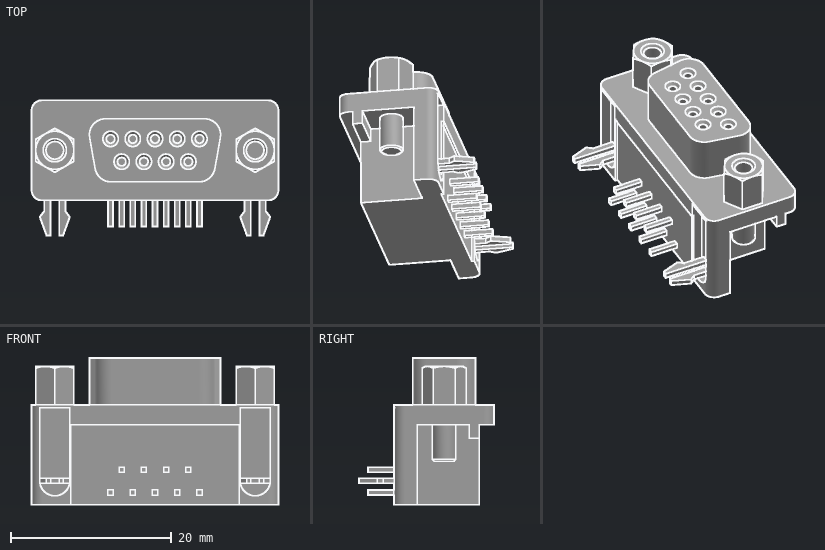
import cadquery as cq
import math


TOTAL_DEPTH = 16.88
FLANGE_WIDTH = 30.81
FLANGE_DEPTH = 12.5
FLANGE_THICKNESS = 2.5
CORNER_RADIUS = 1.3
HOUSING_HEIGHT = 12.45
FRONT_WALL_DEPTH = 2.88
BODY_WIDTH = 19.44
BODY_DEPTH = 10.65
RIB_BOTTOM_DEPTH = 4.16
RIB_THICKNESS = 1.25
PANEL_WIDTH = 21.0
PANEL_RECESS = 0.32
CENTRE_Y = FLANGE_DEPTH / 2

SHELL_HEIGHT = 5.85
SHELL_DEPTH = 7.87
SHELL_WIDTH = 16.36
SHELL_CORNER_RADIUS = 2.0
SHELL_SIDE_ANGLE = math.radians(10)

CONTACT_PITCH = 2.77
ROW_SPACING = 2.84
LONG_ROW_COUNT = 5
SHORT_ROW_COUNT = 4
SOCKET_DIAMETER = 1.05
SOCKET_MOUTH_DIAMETER = 1.92
SOCKET_DEPTH = SHELL_HEIGHT
PIN_SIZE = 0.65
PIN_LENGTH = 3.26
SHORT_ROW_PIN_Z = -8.08
LONG_ROW_PIN_Z = SHORT_ROW_PIN_Z - ROW_SPACING

SCREW_SPACING = 24.99
HEX_ACROSS_FLATS = 4.75
HEX_HEIGHT = 4.8
HEX_SIDES = 6
HEX_CHAMFER_ANGLE = math.radians(30)
THREAD_DIAMETER = 2.2
THREAD_MOUTH_DIAMETER = 2.9
THREAD_DEPTH = HEX_HEIGHT
STUD_DIAMETER = 2.9
STUD_LENGTH = 4.5
STUD_CHAMFER = 0.2

LOCK_Z = -9.46
LOCK_THICKNESS = 0.68
LOCK_TIP_Y = FLANGE_DEPTH - TOTAL_DEPTH
LOCK_GAP_HALF = 0.53
LOCK_SHANK_HALF = 1.34
LOCK_BARB_HALF = 1.88
LOCK_TIP_HALF = 1.04
LOCK_SHOULDER_Y = -1.35
LOCK_BARB_Y = -2.06
LOCK_WEB_Y = 1.25
POCKET_DEPTH = 1.35
POCKET_TOP_Z = -0.38

OVERLAP = 0.5


def box(x_min, x_max, y_min, y_max, z_min, z_max):
    """Axis-aligned box between the given limits."""
    return cq.Workplane("XY").box(
        x_max - x_min, y_max - y_min, z_max - z_min, centered=False
    ).translate((x_min, y_min, z_min))


def centred_box(width, y_min, y_max, z_min, z_max):
    """Box of the given width, symmetric about X = 0."""
    return box(-width / 2, width / 2, y_min, y_max, z_min, z_max)


def row_positions(count):
    """X positions of a contact row centred on X = 0."""
    return [(i - (count - 1) / 2) * CONTACT_PITCH for i in range(count)]


def countersunk_cutter(x, y, top_z, diameter, mouth_diameter, depth):
    """Flat-bottomed hole with a 45 degree mouth, opening upward at top_z."""
    radius = diameter / 2
    mouth_radius = mouth_diameter / 2
    mouth_depth = mouth_radius - radius
    profile = [(0, 0), (mouth_radius, 0), (radius, -mouth_depth), (radius, -depth), (0, -depth)]
    cutter = cq.Workplane("XZ").polyline(profile).close().revolve(360, (0, 0, 0), (0, 1, 0))
    return cutter.translate((x, y, top_z))


def make_housing():
    """Flange, front wall, central body and rear rib."""
    bottom = -HOUSING_HEIGHT
    flange = centred_box(FLANGE_WIDTH, 0, FLANGE_DEPTH, -FLANGE_THICKNESS, 0)
    flange = flange.edges("|Z").fillet(CORNER_RADIUS)
    wall = centred_box(FLANGE_WIDTH, 0, FRONT_WALL_DEPTH, bottom, 0)
    wall = wall.edges("|Z and <Y").fillet(CORNER_RADIUS)
    body = centred_box(BODY_WIDTH, OVERLAP, BODY_DEPTH, bottom, 0)
    rib = centred_box(FLANGE_WIDTH, BODY_DEPTH - RIB_THICKNESS, BODY_DEPTH,
                      -RIB_BOTTOM_DEPTH, -FLANGE_THICKNESS)
    panel = centred_box(PANEL_WIDTH, 0, PANEL_RECESS, bottom, -FLANGE_THICKNESS)
    return flange.union(wall).union(body).union(rib).cut(panel)


def make_shell():
    """D-shaped shell whose sides narrow toward the board side."""
    half_depth = SHELL_DEPTH / 2
    taper = math.tan(SHELL_SIDE_ANGLE)
    arc_x = SHELL_WIDTH / 2 - SHELL_CORNER_RADIUS
    arc_to_edge = SHELL_CORNER_RADIUS * (1 / math.cos(SHELL_SIDE_ANGLE) + taper)
    rear_half = arc_x + arc_to_edge
    front_half = rear_half - SHELL_DEPTH * taper
    outline = [(-rear_half, half_depth), (rear_half, half_depth),
               (front_half, -half_depth), (-front_half, -half_depth)]
    shell = cq.Workplane("XY").polyline(outline).close().extrude(SHELL_HEIGHT + OVERLAP)
    shell = shell.edges("|Z").fillet(SHELL_CORNER_RADIUS)
    return shell.translate((0, CENTRE_Y, -OVERLAP))


def add_contacts(part, count, row_y, pin_z):
    """Cut one row of sockets in the shell and add its solder pins."""
    half = PIN_SIZE / 2
    for x in row_positions(count):
        part = part.cut(countersunk_cutter(x, row_y, SHELL_HEIGHT, SOCKET_DIAMETER,
                                           SOCKET_MOUTH_DIAMETER, SOCKET_DEPTH))
        part = part.union(box(x - half, x + half, -PIN_LENGTH, PANEL_RECESS + OVERLAP,
                              pin_z - half, pin_z + half))
    return part


def add_jackscrew(part, x):
    """Chamfered hexagon nut with a threaded bore above the flange and a stud below it."""
    flat_radius = HEX_ACROSS_FLATS / 2
    corner_radius = flat_radius / math.cos(math.pi / HEX_SIDES)
    top = HEX_HEIGHT + OVERLAP
    nut = cq.Workplane("XY").polygon(HEX_SIDES, 2 * corner_radius).extrude(top)
    half_step = 180 / HEX_SIDES
    nut = nut.rotate((0, 0, 0), (0, 0, 1), half_step)
    cone_drop = (corner_radius - flat_radius) * math.tan(HEX_CHAMFER_ANGLE)
    blank_profile = [(0, 0), (corner_radius, 0), (corner_radius, top - cone_drop),
                     (flat_radius, top), (0, top)]
    blank = cq.Workplane("XZ").polyline(blank_profile).close().revolve(360, (0, 0, 0), (0, 1, 0))
    nut = nut.intersect(blank).translate((x, CENTRE_Y, -OVERLAP))

    stud = cq.Workplane("XY").circle(STUD_DIAMETER / 2).extrude(STUD_LENGTH + OVERLAP)
    stud = stud.faces("<Z").chamfer(STUD_CHAMFER)
    stud = stud.translate((x, CENTRE_Y, -FLANGE_THICKNESS - STUD_LENGTH))

    bore = countersunk_cutter(x, CENTRE_Y, HEX_HEIGHT, THREAD_DIAMETER,
                              THREAD_MOUTH_DIAMETER, THREAD_DEPTH)
    return part.union(nut).union(stud).cut(bore)


def add_board_lock(part, x):
    """Round-ended pocket in the front wall with two barbed prongs joined by a web."""
    pocket = box(-LOCK_BARB_HALF, LOCK_BARB_HALF, 0, POCKET_DEPTH, LOCK_Z, POCKET_TOP_Z)
    pocket_end = cq.Workplane("XZ").center(0, LOCK_Z).circle(LOCK_BARB_HALF).extrude(-POCKET_DEPTH)
    pocket = pocket.union(pocket_end).translate((x, 0, 0))

    root_y = POCKET_DEPTH + OVERLAP
    bottom = LOCK_Z - LOCK_THICKNESS / 2
    prong_outline = [
        (LOCK_GAP_HALF, root_y),
        (LOCK_SHANK_HALF, root_y),
        (LOCK_SHANK_HALF, LOCK_SHOULDER_Y),
        (LOCK_BARB_HALF, LOCK_BARB_Y),
        (LOCK_TIP_HALF, LOCK_TIP_Y),
        (LOCK_GAP_HALF, LOCK_TIP_Y),
    ]
    prong = cq.Workplane("XY").polyline(prong_outline).close().extrude(LOCK_THICKNESS)
    prong = prong.translate((0, 0, bottom))
    web = centred_box(2 * LOCK_SHANK_HALF, LOCK_WEB_Y, root_y, bottom, bottom + LOCK_THICKNESS)
    lock = prong.union(prong.mirror("YZ")).union(web).translate((x, 0, 0))
    return part.cut(pocket).union(lock)


result = make_housing().union(make_shell())
result = add_contacts(result, LONG_ROW_COUNT, CENTRE_Y + ROW_SPACING / 2, LONG_ROW_PIN_Z)
result = add_contacts(result, SHORT_ROW_COUNT, CENTRE_Y - ROW_SPACING / 2, SHORT_ROW_PIN_Z)
for screw_x in (-SCREW_SPACING / 2, SCREW_SPACING / 2):
    result = add_jackscrew(result, screw_x)
    result = add_board_lock(result, screw_x)